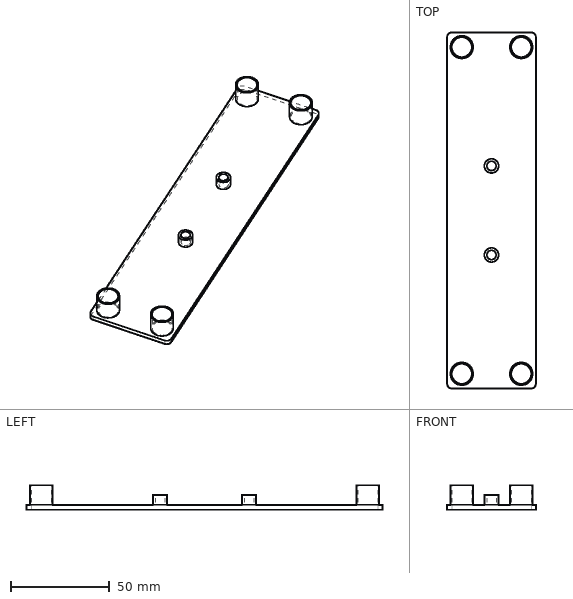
import cadquery as cq

plate_width = 45.0
plate_length = 180.0
plate_thickness = 2.5
corner_radius = 2.5

total_height = 12.5
cup_outer_diameter = 11.5
cup_bore_diameter = 10.0
cup_spacing_x = 30.0
cup_spacing_y = 165.0

boss_height = 5.0
boss_outer_diameter = 7.2
boss_bore_diameter = 4.7
boss_spacing = 45.0


def make_plate():
    plate = cq.Workplane("XY").box(plate_width, plate_length, plate_thickness, centered=(True, True, False))
    return plate.edges("|Z").fillet(corner_radius)


def make_tubes(centres, outer_diameter, bore_diameter, height):
    """Tubes standing on the plate, with bores that stop at its top face."""
    return (
        cq.Workplane("XY", origin=(0, 0, plate_thickness))
        .pushPoints(centres)
        .circle(outer_diameter / 2)
        .circle(bore_diameter / 2)
        .extrude(height)
    )


cup_centres = [
    (side_x * cup_spacing_x / 2, side_y * cup_spacing_y / 2)
    for side_x in (-1, 1)
    for side_y in (-1, 1)
]
boss_centres = [(0, side_y * boss_spacing / 2) for side_y in (-1, 1)]

cups = make_tubes(cup_centres, cup_outer_diameter, cup_bore_diameter, total_height - plate_thickness)
bosses = make_tubes(boss_centres, boss_outer_diameter, boss_bore_diameter, boss_height)
result = make_plate().union(cups).union(bosses)